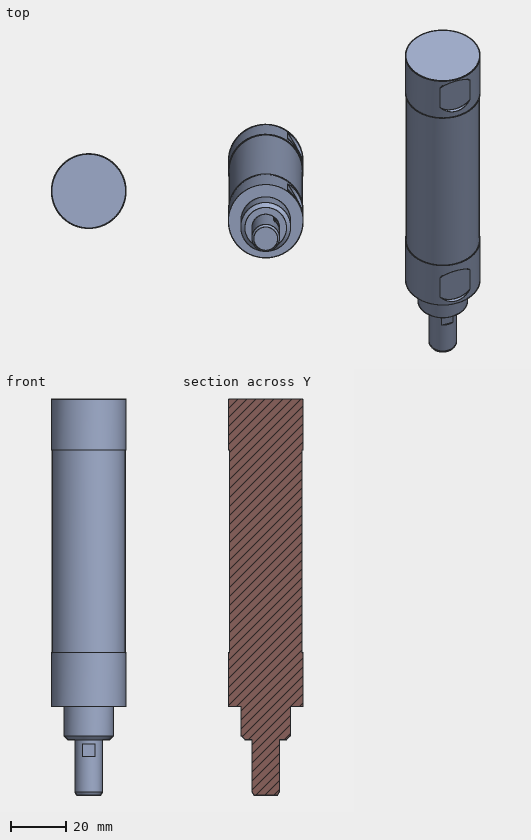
import cadquery as cq
import math

TOTAL_LENGTH = 143.0

ROD_DIAMETER = 10.0
ROD_TIP_DIAMETER = 8.57
ROD_TIP_CHAMFER_ANGLE = 60.0
ROD_LENGTH = 20.0

ACROSS_FLATS = 9.0
FLAT_LENGTH = 4.5
FLAT_GAP = 1.5

NECK_DIAMETER = 18.0
NECK_CHAMFER = 1.5
NECK_LENGTH = 12.0

CAP_DIAMETER = 27.0
BARREL_DIAMETER = 26.4
FRONT_CAP_LENGTH = 19.5
REAR_CAP_LENGTH = 18.5
REAR_CAP_CHAMFER = 0.2

PORT_DIAMETER = 15.0
PORT_FACE_Y = 12.2
FRONT_PORT_DISTANCE = 8.7
REAR_PORT_DISTANCE = 8.35

neck_bottom = ROD_LENGTH
front_cap_bottom = neck_bottom + NECK_LENGTH
barrel_bottom = front_cap_bottom + FRONT_CAP_LENGTH
barrel_top = TOTAL_LENGTH - REAR_CAP_LENGTH
front_port_z = front_cap_bottom + FRONT_PORT_DISTANCE
rear_port_z = TOTAL_LENGTH - REAR_PORT_DISTANCE


def cylinder(diameter, bottom, top):
    return cq.Workplane("XY").workplane(offset=bottom).circle(diameter / 2).extrude(top - bottom)


def make_rod():
    chamfer_radial = (ROD_DIAMETER - ROD_TIP_DIAMETER) / 2
    chamfer_height = chamfer_radial * math.tan(math.radians(ROD_TIP_CHAMFER_ANGLE))
    rod = cylinder(ROD_DIAMETER, 0, neck_bottom)
    rod = rod.faces("<Z").chamfer(chamfer_height, chamfer_radial)
    flat_centre = neck_bottom - FLAT_GAP - FLAT_LENGTH / 2
    for side in (-1, 1):
        cutter_y = side * (ACROSS_FLATS + ROD_DIAMETER) / 2
        cutter = cq.Workplane("XY").box(ROD_DIAMETER, ROD_DIAMETER, FLAT_LENGTH)
        rod = rod.cut(cutter.translate((0, cutter_y, flat_centre)))
    return rod


def make_neck():
    neck = cylinder(NECK_DIAMETER, neck_bottom, front_cap_bottom)
    return neck.faces("<Z").chamfer(NECK_CHAMFER)


def make_body():
    front_cap = cylinder(CAP_DIAMETER, front_cap_bottom, barrel_bottom)
    barrel = cylinder(BARREL_DIAMETER, barrel_bottom, barrel_top)
    rear_cap = cylinder(CAP_DIAMETER, barrel_top, TOTAL_LENGTH)
    rear_cap = rear_cap.faces(">Z").chamfer(REAR_CAP_CHAMFER)
    return front_cap.union(barrel).union(rear_cap)


def port_cutter(centre_z):
    plane = cq.Workplane("XZ", origin=(0, PORT_FACE_Y, centre_z))
    return plane.circle(PORT_DIAMETER / 2).extrude(-CAP_DIAMETER / 2)


result = make_body().union(make_neck()).union(make_rod())
for port_z in (front_port_z, rear_port_z):
    result = result.cut(port_cutter(port_z))